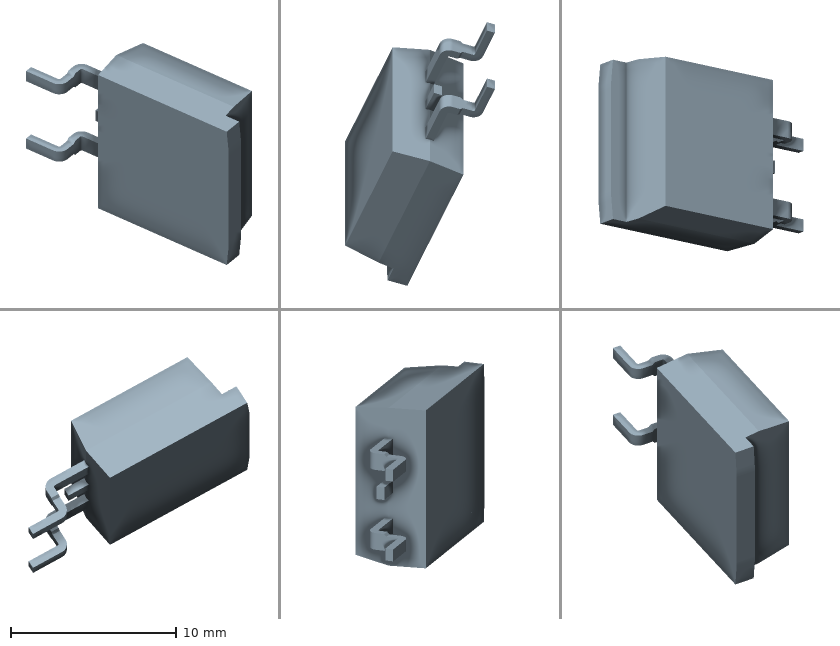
import cadquery as cq
import math


overall_length = 15.24
package_width = 10.05
package_height = 4.57
parting_height = package_height / 2
draft_angle = 8.0
parting_start = 5.1
parting_end = 13.93

tab_thickness = 1.27
tab_pad_start = 7.73
tab_pad_width = 7.6
tab_bevel_length = 0.15
tab_bevel_width = 1.5
tab_ridge_radius = 5.0

lead_thickness = 0.51
lead_pitch = 2.54
lead_top = 2.54
lead_shoulder_width = 1.06
lead_tip_width = 0.76
lead_upright_start = 2.14
lead_taper_base = 1.27
bend_inner_radius = 0.1
bend_outer_radius = bend_inner_radius + lead_thickness
stub_start = 3.72
stub_width = 0.79

draft_slope = math.tan(math.radians(draft_angle))
draft_inset = draft_slope * parting_height
base_start = parting_start + draft_inset
top_end = parting_end - draft_inset
tab_shoulder = parting_end + draft_slope * (parting_height - tab_thickness)

lead_root = base_start
lead_bottom = lead_top - lead_thickness


def extrude_across(profile, width):
    """Extrude a closed XY profile along Z, equally to both sides of Z = 0."""
    return profile.extrude(width / 2, both=True)


def make_tab():
    """T-shaped plate: a narrow pad under the housing and a full-width end with bevelled corners."""
    half_pad = tab_pad_width / 2
    half_end = package_width / 2

    bevel_angle = math.atan2(tab_bevel_length, tab_bevel_width)
    tangent_length = tab_ridge_radius * math.tan(bevel_angle / 2)
    ridge = half_end - tab_bevel_width
    arc_face_z = ridge - tangent_length
    arc_bevel_z = ridge + tangent_length * math.cos(bevel_angle)
    arc_bevel_x = overall_length - tangent_length * math.sin(bevel_angle)

    outline = (
        cq.Workplane("XZ")
        .moveTo(tab_pad_start, -half_pad)
        .lineTo(tab_shoulder, -half_pad)
        .lineTo(tab_shoulder, -half_end)
        .lineTo(overall_length - tab_bevel_length, -half_end)
        .lineTo(arc_bevel_x, -arc_bevel_z)
        .radiusArc((overall_length, -arc_face_z), -tab_ridge_radius)
        .lineTo(overall_length, arc_face_z)
        .radiusArc((arc_bevel_x, arc_bevel_z), -tab_ridge_radius)
        .lineTo(overall_length - tab_bevel_length, half_end)
        .lineTo(tab_shoulder, half_end)
        .lineTo(tab_shoulder, half_pad)
        .lineTo(tab_pad_start, half_pad)
        .close()
    )
    return outline.extrude(-tab_thickness)


def make_formed_lead(z_center):
    """Lead bent twice into a step; it narrows part way down its upright."""
    upright_end = lead_upright_start + lead_thickness
    strip = extrude_across(
        cq.Workplane("XY")
        .moveTo(0, 0)
        .lineTo(upright_end - bend_outer_radius, 0)
        .radiusArc((upright_end, bend_outer_radius), -bend_outer_radius)
        .lineTo(upright_end, lead_bottom - bend_inner_radius)
        .radiusArc((upright_end + bend_inner_radius, lead_bottom), bend_inner_radius)
        .lineTo(lead_root, lead_bottom)
        .lineTo(lead_root, lead_top)
        .lineTo(lead_upright_start + bend_outer_radius, lead_top)
        .radiusArc((lead_upright_start, lead_top - bend_outer_radius), -bend_outer_radius)
        .lineTo(lead_upright_start, lead_thickness + bend_inner_radius)
        .radiusArc((lead_upright_start - bend_inner_radius, lead_thickness), bend_inner_radius)
        .lineTo(0, lead_thickness)
        .close(),
        lead_shoulder_width,
    )
    half_tip = lead_tip_width / 2
    half_shoulder = lead_shoulder_width / 2
    taper_top = lead_taper_base + half_shoulder - half_tip
    width_outline = (
        cq.Workplane("YZ")
        .moveTo(0, -half_tip)
        .lineTo(lead_taper_base, -half_tip)
        .lineTo(taper_top, -half_shoulder)
        .lineTo(lead_top, -half_shoulder)
        .lineTo(lead_top, half_shoulder)
        .lineTo(taper_top, half_shoulder)
        .lineTo(lead_taper_base, half_tip)
        .lineTo(0, half_tip)
        .close()
        .extrude(lead_root)
    )
    return strip.intersect(width_outline).translate((0, 0, z_center))


def make_stub_lead():
    """Straight cropped centre lead."""
    length = lead_root - stub_start
    bar = cq.Workplane("XY").box(length, lead_thickness, stub_width, centered=(False, False, True))
    return bar.translate((stub_start, lead_bottom, 0))


def make_housing(inserts):
    """Moulded block with drafted ends and drafted upper sides, recessed around the inserts."""
    block = extrude_across(
        cq.Workplane("XY")
        .moveTo(base_start, 0)
        .lineTo(tab_shoulder, 0)
        .lineTo(tab_shoulder, tab_thickness)
        .lineTo(top_end, package_height)
        .lineTo(base_start, package_height)
        .lineTo(parting_start, parting_height)
        .close(),
        package_width,
    )
    half_base = package_width / 2
    half_top = half_base - draft_inset
    end_outline = (
        cq.Workplane("YZ")
        .moveTo(0, -half_base)
        .lineTo(parting_height, -half_base)
        .lineTo(package_height, -half_top)
        .lineTo(package_height, half_top)
        .lineTo(parting_height, half_base)
        .lineTo(0, half_base)
        .close()
        .extrude(overall_length)
    )
    housing = block.intersect(end_outline)
    for insert in inserts:
        housing = housing.cut(insert)
    return housing


tab = make_tab()
formed_leads = [make_formed_lead(side * lead_pitch) for side in (-1, 1)]
stub_lead = make_stub_lead()
housing = make_housing([tab, stub_lead, *formed_leads])

result = cq.Compound.makeCompound(
    [housing.val(), tab.val(), stub_lead.val(), *[lead.val() for lead in formed_leads]]
)